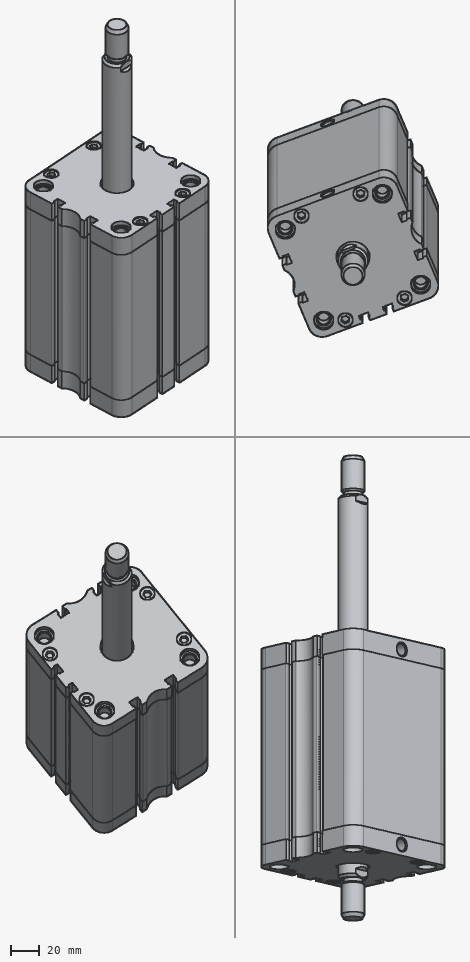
import cadquery as cq
import math

BODY_WIDTH = 95.5
BODY_HEIGHT = 154.5
CAP_HEIGHT = 14.8
CORNER_RADIUS = 10.0
HALF_WIDTH = BODY_WIDTH / 2

SLOT_MOUTH = 5.2
SLOT_WIDTH = 7.0
SLOT_LIP = 3.0
SLOT_DEPTH = 7.0
SLOT_OFFSET = 15.0
CAP_SIDE_SLOT_DEPTH = 6.0
BARREL_SIDE_SLOT_DEPTH = 5.0
SIDE_SLOT_OFFSET = 9.0
GROOVE_DIAMETER = 25.0
GROOVE_HALF_WIDTH = 8.5
BARREL_LIP_RADIUS = 0.5

ROD_HOLE_DIAMETER = 23.0
MOUNT_OFFSET = 36
MOUNT_COUNTERBORE_DIAMETER = 13.5
MOUNT_CHAMFER_DIAMETER = 10.2
MOUNT_HOLE_DIAMETER = 8.5
MOUNT_COUNTERBORE_DEPTH = 3.3
MOUNT_CHAMFER = (MOUNT_CHAMFER_DIAMETER - MOUNT_HOLE_DIAMETER) / 2
MOUNT_HOLE_DEPTH = 11.5
SCREW_X = 41.3
SCREW_Y = 22.0
SCREW_RECESS_DIAMETER = 10.2
SCREW_RECESS_DEPTH = 1.0
SOCKET_CORNER_DIAMETER = 6.0
SOCKET_SIDES = 6
SOCKET_DEPTH = 4.0
PORT_DROP = 8.0
PORT_SINK_DIAMETER = 10.2
PORT_DIAMETER = 8.5
PORT_SINK_DEPTH = 0.82
PORT_DEPTH = 10

ROD_LENGTH = 328
ROD_RADIUS = 20.5 / 2
ROD_BOTTOM = -36.7
THREAD_RADIUS = 16.0 / 2
RELIEF_RADIUS = 13.5 / 2
TIP_RADIUS = 6.5
TIP_CHAMFER_LENGTH = 3.0
THREAD_END = 24.0
RELIEF_START = 25.3
SHOULDER = 28.0
SHOULDER_RADIUS = 8.5
SHOULDER_CHAMFER_LENGTH = 2.0
FLAT_END = 33.0
FLAT_ACROSS = 17.0


def slot_cutter(depth):
    """T-slot along the whole body, its mouth on the plane y = 0 and its floor at y = -depth."""
    mouth = cq.Workplane("XY").box(SLOT_MOUTH, depth, BODY_HEIGHT, centered=(True, False, False))
    pocket = cq.Workplane("XY").box(SLOT_WIDTH, depth - SLOT_LIP, BODY_HEIGHT, centered=(True, False, False))
    return mouth.union(pocket).translate((0, -depth, 0))


def body_slice(bottom, height, side_slot_depth):
    """Rounded square block between two heights, with its slots and grooves."""
    body = cq.Workplane("XY").workplane(offset=bottom).rect(BODY_WIDTH, BODY_WIDTH).extrude(height)
    body = body.edges("|Z").fillet(CORNER_RADIUS)

    slot = slot_cutter(SLOT_DEPTH).translate((0, HALF_WIDTH, 0))
    groove_radius = GROOVE_DIAMETER / 2
    groove_centre = HALF_WIDTH + math.sqrt(groove_radius**2 - GROOVE_HALF_WIDTH**2)
    groove = cq.Workplane("XY").center(0, groove_centre).circle(groove_radius).extrude(BODY_HEIGHT)
    for angle in (0, 180):
        for x in (-SLOT_OFFSET, SLOT_OFFSET):
            body = body.cut(slot.translate((x, 0, 0)).rotate((0, 0, 0), (0, 0, 1), angle))
        body = body.cut(groove.rotate((0, 0, 0), (0, 0, 1), angle))

    side_slot = slot_cutter(side_slot_depth).rotate((0, 0, 0), (0, 0, 1), -90)
    for y in (-SIDE_SLOT_OFFSET, SIDE_SLOT_OFFSET):
        body = body.cut(side_slot.translate((HALF_WIDTH, y, 0)))
    return body


def make_top_cap():
    """Cap with the rod hole, corner mounting holes, screw sockets and an air port."""
    cap = body_slice(BODY_HEIGHT - CAP_HEIGHT, CAP_HEIGHT, CAP_SIDE_SLOT_DEPTH)
    top = cq.Workplane("XY").workplane(offset=BODY_HEIGHT)
    cap = cap.cut(top.circle(ROD_HOLE_DIAMETER / 2).extrude(-CAP_HEIGHT))

    mounts = [(x, y) for x in (-MOUNT_OFFSET, MOUNT_OFFSET) for y in (-MOUNT_OFFSET, MOUNT_OFFSET)]
    for x, y in mounts:
        cap = cap.cut(mounting_hole().translate((x, y, BODY_HEIGHT)))

    screws = [(x, y) for x in (-SCREW_X, SCREW_X) for y in (-SCREW_Y, SCREW_Y)]
    cap = cap.cut(top.pushPoints(screws).circle(SCREW_RECESS_DIAMETER / 2).extrude(-SCREW_RECESS_DEPTH))
    socket = cq.Workplane("XY").polygon(SOCKET_SIDES, SOCKET_CORNER_DIAMETER).extrude(-SOCKET_DEPTH)
    socket = socket.rotate((0, 0, 0), (0, 0, 1), 90)
    for x, y in screws:
        cap = cap.cut(socket.translate((x, y, BODY_HEIGHT)))
    return cap.cut(port_cutter())


def mounting_hole():
    """Counterbore with a chamfered blind hole in its floor, measured down from z = 0."""
    profile = [
        (0, 0),
        (MOUNT_COUNTERBORE_DIAMETER / 2, 0),
        (MOUNT_COUNTERBORE_DIAMETER / 2, -MOUNT_COUNTERBORE_DEPTH),
        (MOUNT_CHAMFER_DIAMETER / 2, -MOUNT_COUNTERBORE_DEPTH),
        (MOUNT_HOLE_DIAMETER / 2, -MOUNT_COUNTERBORE_DEPTH - MOUNT_CHAMFER),
        (MOUNT_HOLE_DIAMETER / 2, -MOUNT_HOLE_DEPTH),
        (0, -MOUNT_HOLE_DEPTH),
    ]
    return cq.Workplane("XZ").polyline(profile).close().revolve(360, (0, 0), (0, 1))


def port_cutter():
    """Blind air port with a chamfered mouth in the -X side of the top cap."""
    face = cq.Workplane("YZ", origin=(-HALF_WIDTH, 0, BODY_HEIGHT - PORT_DROP))
    port = face.circle(PORT_DIAMETER / 2).extrude(PORT_DEPTH)
    sink = face.circle(PORT_SINK_DIAMETER / 2).workplane(offset=PORT_SINK_DEPTH)
    return port.union(sink.circle(PORT_DIAMETER / 2).loft())


def round_slot_lips(barrel):
    """Round the outer edges of the slots and grooves on the front and back faces."""
    lip_places = [SLOT_OFFSET - SLOT_MOUTH / 2, SLOT_OFFSET + SLOT_MOUTH / 2, GROOVE_HALF_WIDTH]
    for y in (-HALF_WIDTH, HALF_WIDTH):
        for place in lip_places:
            for x in (-place, place):
                lip = cq.selectors.NearestToPointSelector((x, y, BODY_HEIGHT / 2))
                barrel = barrel.edges("|Z").edges(lip).fillet(BARREL_LIP_RADIUS)
    return barrel


def make_barrel():
    """Slotted profile between the caps, bored for the rod."""
    barrel = body_slice(CAP_HEIGHT, BODY_HEIGHT - 2 * CAP_HEIGHT, BARREL_SIDE_SLOT_DEPTH)
    barrel = round_slot_lips(barrel)
    return barrel.cut(cq.Workplane("XY").circle(ROD_RADIUS).extrude(BODY_HEIGHT))


def make_rod():
    """Through rod with the same threaded end, relief groove and wrench flats at both ends."""
    end = [
        (TIP_RADIUS, 0),
        (THREAD_RADIUS, TIP_CHAMFER_LENGTH),
        (THREAD_RADIUS, THREAD_END),
        (RELIEF_RADIUS, RELIEF_START),
        (RELIEF_RADIUS, SHOULDER),
        (SHOULDER_RADIUS, SHOULDER),
        (ROD_RADIUS, SHOULDER + SHOULDER_CHAMFER_LENGTH),
    ]
    other_end = [(radius, ROD_LENGTH - z) for radius, z in reversed(end)]
    outline = [(0, 0), *end, *other_end, (0, ROD_LENGTH)]
    rod = cq.Workplane("XZ").polyline(outline).close().revolve(360, (0, 0), (0, 1))

    half_flat = FLAT_ACROSS / 2
    slope = ROD_RADIUS - half_flat
    flat = [
        (half_flat, SHOULDER),
        (half_flat, FLAT_END),
        (half_flat + slope, FLAT_END + slope),
        (half_flat + slope, SHOULDER),
    ]
    cutter = cq.Workplane("XZ").polyline(flat).close().extrude(ROD_RADIUS, both=True)
    cutter = cutter.union(cutter.mirror("YZ"))
    rod = rod.cut(cutter).cut(cutter.mirror("XY").translate((0, 0, ROD_LENGTH)))
    return rod.translate((0, 0, ROD_BOTTOM))


top_cap = make_top_cap()
bottom_cap = top_cap.mirror("XY").translate((0, 0, BODY_HEIGHT))
barrel = make_barrel()
rod = make_rod()

result = cq.Compound.makeCompound([top_cap.val(), bottom_cap.val(), barrel.val(), rod.val()])